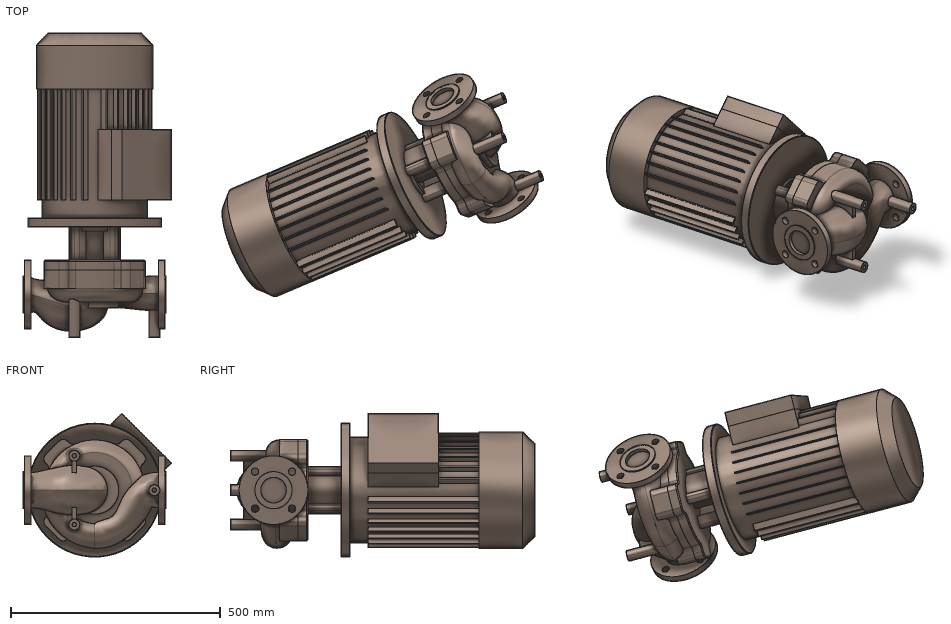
import cadquery as cq
import math


core_radius = 126.0
cover_radius = 139.0
cover_end_radius = 111.0
motor_back_y = 623.0
cover_chamfer_length = 29.0
cover_front_y = 489.5
motor_front_y = 183.0
fin_front_y = 225.5
fin_pitch = 25.5
fin_thickness = 3.0
fins_per_side = 3
quadrant_angles = (45, 135, 225, 315)

box_angle = 45
box_half_width = 83.5
box_back_y = 393.0
box_top = 175.0
lid_thickness = 34.0

disc_radius = 159.5
disc_front_y = 160.0
disc_chamfer = 1.5
lantern_radius = 61.0
lantern_bore_radius = 43.5
lantern_rib_reach = 72.5
lantern_rib_half_width = 12.0
lantern_rib_round = 9.0
collar_radius = 56.5
collar_thickness = 9.0

shaft_radius = 23.0

casing_radius = 120.0
cover_plate_back_y = 82.0
cover_plate_front_y = 58.0
cover_plate_chamfer = 3.0
lug_front_y = 14.5
lug_reach = 143.0
lug_half_width = 37.0
lug_round = 15.0
lug_blend = 14.5
face_y = -18.0
face_radius = 90.0
ring_bulge = (112.5, -6.5)
hub_radius = 57.0
hub_front_y = -32.0

spiral_start_radius = 32.0
spiral_start_reach = 94.0
spiral_end_radius = 35.5
spiral_end_reach = 103.0
spiral_y = 9.0
spiral_steps = 4

flange_face_x = 170.5
raised_face_radius = 44.0
raised_face_height = 3.0
flange_inner_x = 151.5
flange_radius = 82.0
bore_radius = 30.5
bore_depth = 9.5
bolt_hole_radius = 9.0
bolt_circle_radius = 62.5
bolt_hole_count = 4
bolt_start_angle = 45

foot_radius = 13.0
foot_end_y = -102.0
foot_hole_radius = 5.0
foot_hole_depth = 14.5
suction_foot_x = -48.5
suction_foot_z = 82.0
discharge_foot_x = 142.0
foot_rib_thickness = 10.0
foot_rib_front_y = -71.0
foot_rib_inner_z = 38.0


def cylinder_y(radius, front_y, back_y, x=0, z=0):
    start = cq.Vector(x, front_y, z)
    return cq.Workplane(cq.Solid.makeCylinder(radius, back_y - front_y, start, cq.Vector(0, 1, 0)))


def radial_block(reach_start, reach_end, half_width, front_y, back_y, angle):
    """Block reaching out from the Y axis at an angle from +X toward +Z."""
    block = cq.Workplane().box(
        reach_end - reach_start, back_y - front_y, 2 * half_width, centered=(False, False, True)
    )
    return block.translate((reach_start, front_y, 0)).rotate((0, 0, 0), (0, 1, 0), -angle)


def rounded_arm(reach, half_width, corner_round, front_y, back_y, angle):
    """Block from the Y axis outward, with its two outer edges rounded."""
    arm = radial_block(0, reach, half_width, front_y, back_y, 0)
    arm = arm.edges("|Y and >X").fillet(corner_round)
    return arm.rotate((0, 0, 0), (0, 1, 0), -angle)


def lofted_pipe(sections):
    """Smooth pipe through circles given as (radius, center, direction)."""
    circles = [cq.Wire.makeCircle(r, cq.Vector(*center), cq.Vector(*way)) for r, center, way in sections]
    return cq.Workplane(cq.Solid.makeLoft(circles))


def make_fan_cover():
    chamfer_y = motor_back_y - cover_chamfer_length
    profile = cq.Workplane("XY").polyline([
        (0, cover_front_y),
        (cover_radius, cover_front_y),
        (cover_radius, chamfer_y),
        (cover_end_radius, motor_back_y),
        (0, motor_back_y),
    ]).close()
    return profile.revolve(360, (0, 0, 0), (0, 1, 0))


def make_box_block(reach_start, reach_end):
    return radial_block(reach_start, reach_end, box_half_width, fin_front_y, box_back_y, box_angle)


def make_box_base():
    block = make_box_block(0, box_top - lid_thickness)
    return block.cut(cylinder_y(core_radius, motor_front_y, cover_front_y))


def make_box_lid():
    return make_box_block(box_top - lid_thickness, box_top)


def make_motor_body():
    fins = cq.Workplane()
    for angle in quadrant_angles:
        for index in range(-fins_per_side, fins_per_side + 1):
            fin = radial_block(0, cover_radius, fin_thickness / 2, fin_front_y, cover_front_y, 0)
            fin = fin.translate((0, 0, index * fin_pitch))
            fins.add(fin.rotate((0, 0, 0), (0, 1, 0), -angle))
    fins = fins.combine().intersect(cylinder_y(cover_radius, fin_front_y, cover_front_y))
    fins = fins.cut(make_box_block(0, box_top))
    return cylinder_y(core_radius, motor_front_y, cover_front_y).union(fins)


def make_motor_stool():
    disc = cylinder_y(disc_radius, disc_front_y, motor_front_y).edges().chamfer(disc_chamfer)
    wall = cylinder_y(lantern_radius, cover_plate_back_y, disc_front_y)
    spread = 2 * lantern_radius
    for side in (1, -1):
        wedge = cq.Workplane("XZ", origin=(0, disc_front_y, 0)).polyline(
            [(0, 0), (spread, side * spread), (-spread, side * spread)]
        ).close().extrude(disc_front_y - cover_plate_back_y)
        wall = wall.cut(wedge)
    for angle in quadrant_angles:
        rib = rounded_arm(
            lantern_rib_reach, lantern_rib_half_width, lantern_rib_round,
            cover_plate_back_y, disc_front_y, angle,
        )
        wall = wall.union(rib)
    wall = wall.union(cylinder_y(collar_radius, disc_front_y - collar_thickness, disc_front_y))
    wall = wall.cut(cylinder_y(lantern_bore_radius, cover_plate_back_y, disc_front_y))
    return disc.union(wall)


def make_shaft():
    return cylinder_y(shaft_radius, cover_plate_back_y, disc_front_y)


def make_lugged_plate(front_y, back_y):
    """Round plate with four rounded lugs blended into its rim."""
    plate = cylinder_y(casing_radius, front_y, back_y)
    for angle in quadrant_angles:
        plate = plate.union(rounded_arm(lug_reach, lug_half_width, lug_round, front_y, back_y, angle))
    root_reach = math.sqrt(casing_radius**2 - lug_half_width**2)
    middle_y = (front_y + back_y) / 2
    roots = cq.Workplane()
    for angle in quadrant_angles:
        for side in (1, -1):
            direction = math.radians(angle) + side * math.atan2(lug_half_width, root_reach)
            point = (casing_radius * math.cos(direction), middle_y, casing_radius * math.sin(direction))
            roots.add(plate.edges(cq.selectors.NearestToPointSelector(point)))
    return plate.newObject([plate.val().fillet(lug_blend, roots.vals())])


def make_cover_plate():
    plate = make_lugged_plate(cover_plate_front_y, cover_plate_back_y)
    return plate.faces(">Y").chamfer(cover_plate_chamfer)


def make_volute_ring():
    profile = (
        cq.Workplane("XY")
        .moveTo(0, lug_front_y)
        .lineTo(casing_radius, lug_front_y)
        .threePointArc(ring_bulge, (face_radius, face_y))
        .lineTo(hub_radius, face_y)
        .lineTo(hub_radius, hub_front_y)
        .lineTo(0, hub_front_y)
        .close()
    )
    return profile.revolve(360, (0, 0, 0), (0, 1, 0))


def make_spiral():
    """Growing tube that winds round the lower -X quarter of the casing."""
    sections = []
    for step in range(spiral_steps + 1):
        part = step / spiral_steps
        angle = math.radians(180 + 90 * part)
        reach = spiral_start_reach + (spiral_end_reach - spiral_start_reach) * part
        radius = spiral_start_radius + (spiral_end_radius - spiral_start_radius) * part
        center = (reach * math.cos(angle), spiral_y, reach * math.sin(angle))
        sections.append((radius, center, (-math.sin(angle), 0, math.cos(angle))))
    return lofted_pipe(sections)


def make_discharge_pipe():
    """S-bend from the bottom of the spiral up to the +X flange."""
    return lofted_pipe([
        (spiral_end_radius, (0, spiral_y, -spiral_end_reach), (1, 0, 0)),
        (36.0, (45.0, 6.0, -91.5), (0.9, 0, 0.4)),
        (38.0, (80.0, 4.0, -59.5), (0.6, 0, 0.8)),
        (39.0, (106.0, 3.0, -18.0), (0.7, 0, 0.7)),
        (41.0, (138.0, 3.0, 0), (1, 0, 0.1)),
        (41.0, (flange_inner_x, 3.0, 0), (1, 0, 0)),
    ])


def make_suction_elbow():
    """Widening bend from the -X flange into the hub."""
    return lofted_pipe([
        (42.0, (-flange_inner_x, -1.5, 0), (1, 0, 0)),
        (51.0, (-105.0, -14.0, 0), (1, -0.4, 0)),
        (59.5, (-58.0, -28.0, 0), (1, -0.1, 0)),
        (58.0, (-33.5, -27.0, 0), (0.7, 0.7, 0)),
        (57.0, (-26.0, -13.0, 0), (0.1, 1, 0)),
    ])


def make_foot(x, z):
    foot = cylinder_y(foot_radius, foot_end_y, 0, x, z)
    return foot.cut(cylinder_y(foot_hole_radius, foot_end_y, foot_end_y + foot_hole_depth, x, z))


def make_feet():
    feet = make_foot(discharge_foot_x, 0)
    for side in (1, -1):
        feet = feet.union(make_foot(suction_foot_x, side * suction_foot_z))
    return feet


def make_foot_ribs():
    """Thin webs tying the two suction-side feet to the elbow."""
    ribs = cq.Workplane()
    rib_height = suction_foot_z - foot_radius / 2 - foot_rib_inner_z
    for side in (1, -1):
        rib = cq.Workplane().box(
            foot_rib_thickness, -foot_rib_front_y, rib_height, centered=(True, False, False)
        )
        rib = rib.translate((suction_foot_x, foot_rib_front_y, foot_rib_inner_z))
        if side < 0:
            rib = rib.mirror("XY")
        ribs.add(rib)
    return ribs.combine()


def make_casing():
    casing = make_lugged_plate(lug_front_y, cover_plate_front_y)
    for piece in (
        make_volute_ring(), make_spiral(), make_discharge_pipe(), make_suction_elbow(),
        make_feet(), make_foot_ribs(),
    ):
        casing = casing.union(piece)
    return casing


def make_flange(side):
    """Blind-bored flange on the +X (side 1) or -X (side -1) nozzle."""
    rim_x = flange_face_x - raised_face_height
    flange = cq.Workplane("YZ", origin=(flange_inner_x, 0, 0)).circle(flange_radius)
    flange = flange.extrude(rim_x - flange_inner_x)
    flange = flange.faces(">X").workplane().circle(raised_face_radius).extrude(raised_face_height)
    flange = flange.faces(">X").workplane().circle(bore_radius).cutBlind(-bore_depth)
    bolt_holes = (
        cq.Workplane("YZ", origin=(flange_inner_x, 0, 0))
        .polarArray(bolt_circle_radius, bolt_start_angle, 360, bolt_hole_count)
        .circle(bolt_hole_radius)
        .extrude(rim_x - flange_inner_x)
    )
    flange = flange.cut(bolt_holes)
    if side < 0:
        flange = flange.mirror("YZ")
    return flange.cut(make_foot(discharge_foot_x, 0))


fan_cover = make_fan_cover()
motor_body = make_motor_body()
box_base = make_box_base()
box_lid = make_box_lid()
motor_stool = make_motor_stool()
shaft = make_shaft()
cover_plate = make_cover_plate()
casing = make_casing()
flanges = [make_flange(side) for side in (1, -1)]

result = cq.Compound.makeCompound([
    fan_cover.val(),
    motor_body.val(),
    box_base.val(),
    box_lid.val(),
    motor_stool.val(),
    shaft.val(),
    cover_plate.val(),
    casing.val(),
    *[flange.val() for flange in flanges],
])